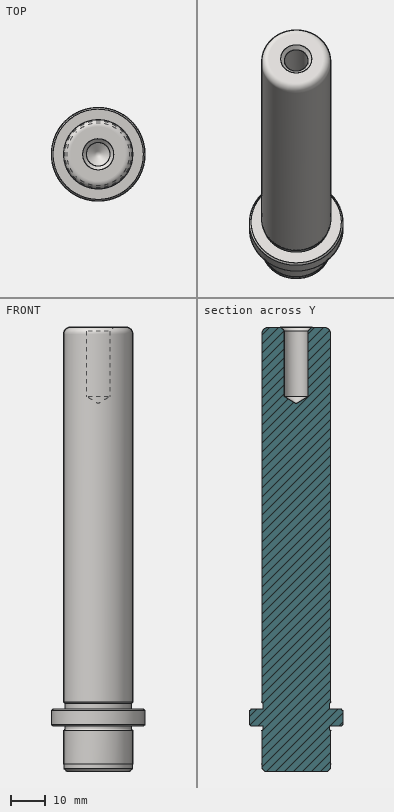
import cadquery as cq
import math

total_height = 128.0
shaft_radius = 10.0
tip_fillet = 2.0

flange_diameter = 27.0
flange_radius = flange_diameter / 2
flange_bottom = 13.0
flange_top = 18.0
flange_chamfer = 0.5
groove_radius = 9.6
groove_depth = shaft_radius - groove_radius
upper_groove_top = 20.0
lower_groove_bottom = 11.8
lower_groove_arc = 0.6

pilot_diameter = 19.8
pilot_radius = pilot_diameter / 2
pilot_height = 2.2
pilot_chamfer = 0.9

hole_diameter = 6.8
hole_radius = hole_diameter / 2
hole_depth = 20.0
countersink_radius = 4.5
drill_point_angle = 118.0


def make_pillar():
    """Revolve the stepped outer outline about Z."""
    arc_angle = math.acos(1 - groove_depth / lower_groove_arc)
    arc_top = lower_groove_bottom + lower_groove_arc * math.sin(arc_angle)
    arc_middle = (
        groove_radius + lower_groove_arc * (1 - math.cos(arc_angle / 2)),
        arc_top - lower_groove_arc * math.sin(arc_angle / 2),
    )
    outline = (
        cq.Workplane("XZ")
        .lineTo(pilot_radius - pilot_chamfer, 0)
        .lineTo(pilot_radius, pilot_chamfer)
        .lineTo(pilot_radius, pilot_height)
        .lineTo(shaft_radius, pilot_height)
        .lineTo(shaft_radius, lower_groove_bottom)
        .threePointArc(arc_middle, (groove_radius, arc_top))
        .lineTo(groove_radius, flange_bottom)
        .lineTo(flange_radius - flange_chamfer, flange_bottom)
        .lineTo(flange_radius, flange_bottom + flange_chamfer)
        .lineTo(flange_radius, flange_top - flange_chamfer)
        .lineTo(flange_radius - flange_chamfer, flange_top)
        .lineTo(groove_radius, flange_top)
        .lineTo(groove_radius, upper_groove_top - groove_depth)
        .lineTo(shaft_radius, upper_groove_top)
        .lineTo(shaft_radius, total_height)
        .lineTo(0, total_height)
        .close()
    )
    pillar = outline.revolve(360, (0, 0), (0, 1))
    return pillar.faces(">Z").edges().fillet(tip_fillet)


def make_hole():
    """Countersunk blind hole with a conical drill point."""
    countersink_depth = countersink_radius - hole_radius
    hole_floor = total_height - hole_depth
    point_depth = hole_radius / math.tan(math.radians(drill_point_angle / 2))
    return (
        cq.Workplane("XZ")
        .moveTo(0, total_height)
        .lineTo(countersink_radius, total_height)
        .lineTo(hole_radius, total_height - countersink_depth)
        .lineTo(hole_radius, hole_floor)
        .lineTo(0, hole_floor - point_depth)
        .close()
        .revolve(360, (0, 0), (0, 1))
    )


result = make_pillar().cut(make_hole())